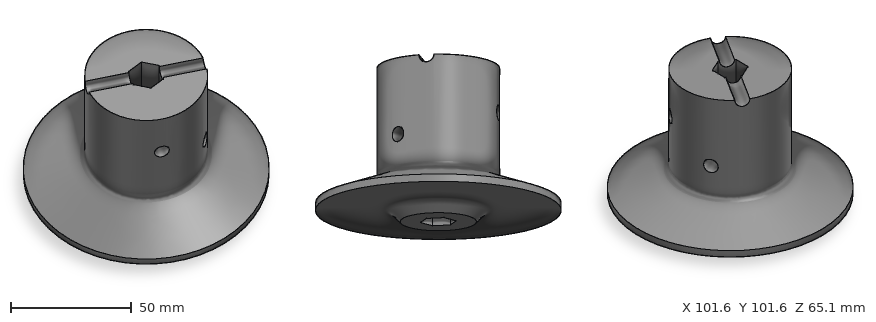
import cadquery as cq
import math

total_height = 65.1
flange_bottom = 4.8
flange_rim_thickness = 3.1
cone_rise = 9.5

flange_radius = 101.6 / 2
hub_radius = 50.8 / 2
boss_tip_radius = 15.7
boss_angle = 45
hub_fillet = 3.0
boss_fillet = 5.0

hex_across_flats = 13.0

cross_hole_diameter = 6.3
cross_hole_overrun = 1
cross_holes = [
    (0, 30),
    (20.0, -60),
    (32.5, 0),
]


def turned_body():
    rim_top = flange_bottom + flange_rim_thickness
    cone_top = rim_top + cone_rise
    boss_root_radius = boss_tip_radius + flange_bottom / math.tan(math.radians(boss_angle))
    body = (
        cq.Workplane("XZ")
        .moveTo(0, 0)
        .lineTo(boss_tip_radius, 0)
        .lineTo(boss_root_radius, flange_bottom)
        .lineTo(flange_radius, flange_bottom)
        .lineTo(flange_radius, rim_top)
        .lineTo(hub_radius, cone_top)
        .lineTo(hub_radius, total_height)
        .lineTo(0, total_height)
        .close()
        .revolve(360, (0, 0, 0), (0, 1, 0))
    )
    body = fillet_circle(body, boss_root_radius, flange_bottom, boss_fillet)
    return fillet_circle(body, hub_radius, cone_top, hub_fillet)


def fillet_circle(body, radius, height, fillet_radius):
    """Round the circular edge with the given radius and height."""
    margin = 0.1
    reach = radius + margin
    ring_zone = cq.selectors.BoxSelector(
        (-reach, -reach, height - margin),
        (reach, reach, height + margin),
        boundingbox=True,
    )
    return body.edges(ring_zone).fillet(fillet_radius)


def hex_bore():
    across_corners = hex_across_flats / math.cos(math.radians(30))
    return cq.Workplane("XY").polygon(6, across_corners).extrude(total_height)


def cross_hole(depth, direction):
    return (
        cq.Workplane("YZ")
        .center(0, total_height - depth)
        .circle(cross_hole_diameter / 2)
        .extrude(hub_radius + cross_hole_overrun, both=True)
        .rotate((0, 0, 0), (0, 0, 1), direction)
    )


result = turned_body().cut(hex_bore())
for depth, direction in cross_holes:
    result = result.cut(cross_hole(depth, direction))